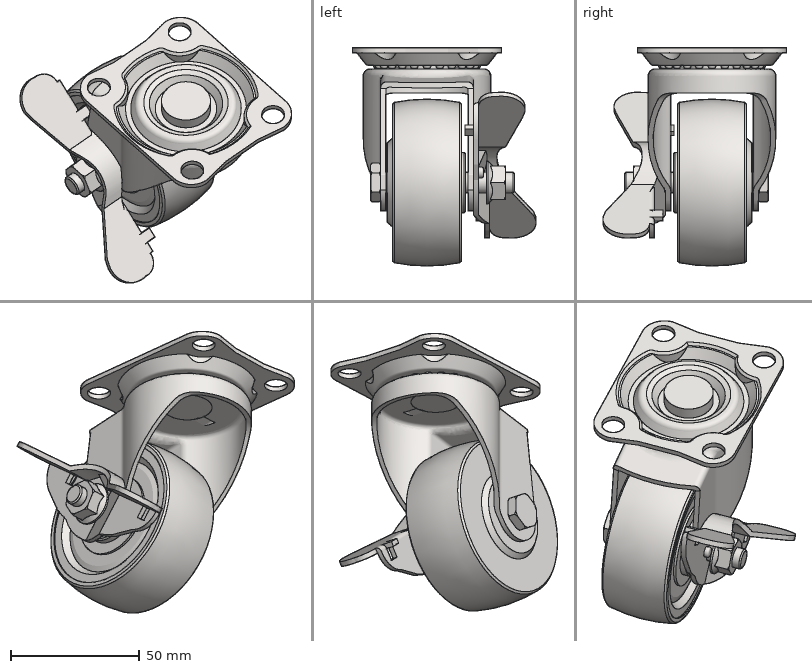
import cadquery as cq
import math


SHEET = 2.0
AXLE_X = -29.0
AXLE_Z = -52.5
AXLE_RADIUS = 4.1
LEG_OUTSIDE = 18.0

PLATE_X = 34.9
PLATE_WAIST_X = 32.9
PLATE_WAIST_Y = 8.3
PLATE_Y = 29.0
CORNER_RADIUS = 9.2
HOLE_X = 27.5
HOLE_Y = 20.9
HOLE_RADIUS = 4.4
DISH_DEPTH = 4.8
DISH_TOP_RADIUS = 27.3
DISH_FLOOR_RADIUS = 23.5
DISH_CORNER_ROUND = 1.4
DISH_RIM_BEVEL = 1.0
DISH_FLOOR_ROUND = 1.3
DISH_BITE_RADIUS = 11.3
PIN_RADIUS = 9.6

BALL_COUNT = 24
BALL_RADIUS = 1.5
BALL_CIRCLE_RADIUS = 19.3
BALL_CLEARANCE = 0.05

FORK_TOP = -8.2
CROWN_RADIUS = 24.9
CROWN_RIM_Z = -17.7
CROWN_ROUND = 2.9
ROOF_ROUND = 2.4
ROOF_FRONT_X = -37.6
ROOF_FRONT_Z = -13.6
ROOF_SLOPE = 9.3
ROOF_LIP_Z = -15.8
ROOF_BOW_X = -35.1
LEG_EYE_RADIUS = 11.0
LEG_FRONT_TOP_X = -34.6
LEG_REAR_ANGLE = 49.3
LEG_REAR_ROUND = 8.7
FLARE_ROUND = 3.9
FLARE_ROUND_INSIDE = 3.9

WHEEL_RADIUS = 32.5
TREAD_EDGE_RADIUS = 31.3
WHEEL_HALF_WIDTH = 13.5
WHEEL_DISC_RECESS = 2.5
HUB_FRONT_Y = 15.1
HUB_BACK_Y = 15.5

HEX_FLATS = 13.0
BOLT_HEAD_HEIGHT = 4.0
BOLT_TIP = 34.1
BOLT_CHAMFER = 0.6
NUT_SEAT = 23.1
NUT_FLANGE_EDGE = 0.8
NUT_FLANGE_HEIGHT = 2.4
NUT_FLANGE_RADIUS = 8.4
NUT_CONE_RADIUS = 6.6
NUT_END = 30.6
HEX_CORNER_CUT = 0.6

PEDAL_TILT = 38.2
TREAD_TOP = 9.65
TREAD_START = 38.0
PEDAL_END = 44.5
TREAD_BEND = 1.8
ARCH_TOP = 14.5
ARCH_RADIUS = 19.8
ARCH_ANGLE = 32.5
WEB_STEP = 4.3
STEP_START = 2.9
STEP_END = 13.5
PADDLE_A_Y = 38.2
PADDLE_B_Y = 42.4
TAB_REACH = 3.3
TAB_WIDTH = 4.2
TAB_A_U = -22.0
TAB_B_U = 31.75
WINDOW_A_BOTTOM = 3.6
WINDOW_B_BOTTOM = 2.6
GUSSET_FOOT = 7.7
GUSSET_RISE = 0.7
STUD_U = -6.4
STUD_RADIUS = 2.1
STUD_HEIGHT = 1.9
STUD_ROUND = 0.9

PLATE_BOTTOM = -SHEET - DISH_DEPTH
FORK_CAP_BOTTOM = FORK_TOP - SHEET
CORNER_X = PLATE_X - CORNER_RADIUS
CORNER_Y = PLATE_Y - CORNER_RADIUS
HOLE_CENTRES = [(sx * HOLE_X, sy * HOLE_Y) for sx in (-1, 1) for sy in (-1, 1)]
DEEP = 193.0


def axle_cylinder(radius, y_low, y_high):
    """A cylinder on the wheel axle between two Y positions."""
    plane = cq.Workplane("XZ", origin=(AXLE_X, y_high, AXLE_Z))
    return plane.circle(radius).extrude(y_high - y_low)


def axle_revolve(points):
    """A ring around the wheel axle from (radius, y) points."""
    ring = cq.Workplane("XY").polyline(points).close().revolve(360, (0, 0, 0), (0, 1, 0))
    return ring.translate((AXLE_X, 0, AXLE_Z))


def plate_blank():
    diagonal = CORNER_RADIUS * math.sqrt(0.5)
    outline = cq.Workplane("XY").moveTo(-CORNER_X, PLATE_Y).lineTo(CORNER_X, PLATE_Y)
    outline = outline.threePointArc((CORNER_X + diagonal, CORNER_Y + diagonal), (PLATE_X, CORNER_Y))
    outline = outline.lineTo(PLATE_WAIST_X, PLATE_WAIST_Y).lineTo(PLATE_WAIST_X, -PLATE_WAIST_Y)
    outline = outline.lineTo(PLATE_X, -CORNER_Y)
    outline = outline.threePointArc((CORNER_X + diagonal, -CORNER_Y - diagonal), (CORNER_X, -PLATE_Y))
    outline = outline.lineTo(-CORNER_X, -PLATE_Y)
    outline = outline.threePointArc((-CORNER_X - diagonal, -CORNER_Y - diagonal), (-PLATE_X, -CORNER_Y))
    outline = outline.lineTo(-PLATE_WAIST_X, -PLATE_WAIST_Y).lineTo(-PLATE_WAIST_X, PLATE_WAIST_Y)
    outline = outline.lineTo(-PLATE_X, CORNER_Y)
    outline = outline.threePointArc((-CORNER_X - diagonal, CORNER_Y + diagonal), (-CORNER_X, PLATE_Y))
    return outline.close().extrude(-SHEET)


def scalloped_disc(top_z, depth, radius, bite_radius, corner_round):
    """A disc with rounded scallops around the mounting holes."""
    level = cq.Workplane("XY").workplane(offset=top_z)
    disc = level.circle(radius).extrude(-depth)
    disc = disc.cut(level.pushPoints(HOLE_CENTRES).circle(bite_radius).extrude(-depth))
    return disc.edges("|Z").edges("not >X").fillet(corner_round)


def scalloped_cone(top_z, bite_radius):
    """The dish shape: a scalloped disc narrowing to the dish floor."""
    cone = cq.Workplane("XZ").polyline([
        (0, top_z), (DISH_TOP_RADIUS, top_z), (DISH_FLOOR_RADIUS, top_z - DISH_DEPTH), (0, top_z - DISH_DEPTH),
    ]).close().revolve(360, (0, 0, 0), (0, 1, 0))
    return cone.intersect(
        scalloped_disc(top_z, DISH_DEPTH, DISH_TOP_RADIUS, bite_radius, DISH_CORNER_ROUND))


def rim_bevel():
    """Cutter that breaks the upper edge of the dish all round."""
    mouth = scalloped_disc(
        DISH_RIM_BEVEL, 2 * DISH_RIM_BEVEL, DISH_TOP_RADIUS + DISH_RIM_BEVEL,
        DISH_BITE_RADIUS - DISH_RIM_BEVEL, DISH_CORNER_ROUND + DISH_RIM_BEVEL)
    return mouth.faces("<Z").edges().chamfer(DISH_RIM_BEVEL)


def race_ring():
    """Raised ball race in the middle of the dish, with the flush swivel pin inside it."""
    floor = -DISH_DEPTH
    ring = cq.Workplane("XZ").moveTo(21.5, floor - SHEET).lineTo(21.5, floor)
    ring = ring.lineTo(19.9, -2.3).threePointArc((19.2, -1.4), (17.95, -1.0))
    ring = ring.lineTo(16.4, -1.0).lineTo(14.3, -1.7).lineTo(12.0, floor)
    ring = ring.lineTo(PIN_RADIUS, floor).lineTo(PIN_RADIUS, 0).lineTo(0, 0)
    ring = ring.lineTo(0, FORK_CAP_BOTTOM).lineTo(PIN_RADIUS, FORK_CAP_BOTTOM)
    ring = ring.lineTo(PIN_RADIUS, floor - SHEET).close()
    return ring.revolve(360, (0, 0, 0), (0, 1, 0))


def ball_row():
    """Row of balls under the plate, kept just clear of the fork."""
    balls = cq.Workplane("XY").workplane(offset=PLATE_BOTTOM)
    balls = balls.polarArray(BALL_CIRCLE_RADIUS, 0, 360, BALL_COUNT).sphere(BALL_RADIUS)
    return balls.intersect(cq.Workplane("XY").box(DEEP, DEEP, 2 * (-FORK_TOP - BALL_CLEARANCE)))


def make_plate():
    dish = scalloped_cone(-SHEET, DISH_BITE_RADIUS - SHEET)
    dish = dish.faces("<Z").edges().fillet(DISH_FLOOR_ROUND)
    plate = plate_blank().union(dish)
    plate = plate.cut(scalloped_cone(0, DISH_BITE_RADIUS)).cut(rim_bevel())
    holes = cq.Workplane("XY").pushPoints(HOLE_CENTRES).circle(HOLE_RADIUS).extrude(-SHEET)
    return plate.cut(holes).union(race_ring()).union(ball_row())


def roof_z(x):
    return ROOF_FRONT_Z + (x - ROOF_FRONT_X) * math.tan(math.radians(ROOF_SLOPE))


def fork_hull(inset, flare_round):
    """Outside of the fork for inset 0, its hollow for inset SHEET."""
    bottom = AXLE_Z - 2 * LEG_EYE_RADIUS
    half_width = LEG_OUTSIDE - inset
    crown = cq.Workplane("XY").workplane(offset=bottom).circle(CROWN_RADIUS - inset)
    crown = crown.extrude(FORK_TOP - inset - bottom).faces(">Z").edges().fillet(CROWN_ROUND - inset / 2)
    front_x = ROOF_FRONT_X - SHEET
    nose = cq.Workplane("XZ", origin=(0, half_width, 0)).polyline([
        (front_x, bottom), (front_x, roof_z(front_x) - inset), (0, roof_z(0) - inset), (0, bottom),
    ]).close().extrude(2 * half_width)
    nose = nose.edges("#Y and (not |Z) and (>Y or <Y)").edges("not (<Z)").edges(
        cq.selectors.BoxSelector((-43.4, -28.95, -28.95), (-1, 28.95, 0))).fillet(ROOF_ROUND - inset / 2)
    junction = cq.selectors.BoxSelector((-19.3, -19.3, -57.9), (-15.4, 19.3, -24.1))
    return crown.union(nose).edges(junction).fillet(flare_round)


def leg_outline():
    """Side profile of the fork, running round the axle eye."""
    slope = math.radians(LEG_REAR_ANGLE)
    rear = (AXLE_X + LEG_EYE_RADIUS * math.sin(slope), AXLE_Z - LEG_EYE_RADIUS * math.cos(slope))
    rim_x = rear[0] + (CROWN_RIM_Z - rear[1]) / math.tan(slope)
    profile = cq.Workplane("XZ", origin=(0, DEEP / 2, 0)).polyline([
        (ROOF_FRONT_X, 0), (ROOF_FRONT_X, ROOF_LIP_Z), (LEG_FRONT_TOP_X, ROOF_LIP_Z),
        (AXLE_X - LEG_EYE_RADIUS, AXLE_Z), (AXLE_X, AXLE_Z), rear,
        (rim_x, CROWN_RIM_Z), (CROWN_RADIUS, CROWN_RIM_Z), (CROWN_RADIUS, 0),
    ]).close().extrude(DEEP)
    at_rim = cq.selectors.BoxSelector((rim_x - 1, -DEEP, CROWN_RIM_Z - 1), (rim_x + 1, DEEP, CROWN_RIM_Z + 1))
    profile = profile.edges(at_rim).fillet(LEG_REAR_ROUND)
    return profile.union(axle_cylinder(LEG_EYE_RADIUS, -DEEP / 2, DEEP / 2))


def roof_plan():
    """Plan limit that bows the front edge of the roof."""
    outline = cq.Workplane("XY").workplane(offset=-DEEP / 2).moveTo(CROWN_RADIUS, -PLATE_Y)
    outline = outline.lineTo(AXLE_X - LEG_EYE_RADIUS, -PLATE_Y).lineTo(AXLE_X - LEG_EYE_RADIUS, PLATE_Y)
    outline = outline.lineTo(CROWN_RADIUS, PLATE_Y).close().extrude(DEEP)
    beyond = cq.Workplane("XY").workplane(offset=ROOF_LIP_Z).moveTo(ROOF_BOW_X, -LEG_OUTSIDE)
    beyond = beyond.threePointArc((ROOF_FRONT_X, 0), (ROOF_BOW_X, LEG_OUTSIDE))
    beyond = beyond.lineTo(-DEEP, LEG_OUTSIDE).lineTo(-DEEP, -LEG_OUTSIDE).close().extrude(-ROOF_LIP_Z)
    return outline.cut(beyond)


def make_fork():
    fork = fork_hull(0, FLARE_ROUND).cut(fork_hull(SHEET, FLARE_ROUND_INSIDE))
    fork = fork.intersect(leg_outline()).intersect(roof_plan())
    pin_hole = cq.Workplane("XY").workplane(offset=FORK_TOP).circle(PIN_RADIUS).extrude(-SHEET)
    return fork.cut(pin_hole).cut(axle_cylinder(AXLE_RADIUS, -LEG_OUTSIDE, LEG_OUTSIDE))


def make_wheel():
    """Wheel with a crowned tread, a stepped front face and a hub, turned about the axle."""
    w = WHEEL_HALF_WIDTH
    disc_y = w - WHEEL_DISC_RECESS
    profile = cq.Workplane("XY").moveTo(AXLE_RADIUS, -HUB_FRONT_Y).lineTo(11.2, -HUB_FRONT_Y)
    profile = profile.lineTo(11.8, 0.6 - HUB_FRONT_Y).lineTo(11.8, -disc_y - 1.0)
    profile = profile.lineTo(16.3, -disc_y - 1.0).lineTo(16.3, -disc_y)
    profile = profile.lineTo(21.1, -disc_y).lineTo(23.3, 0.6 - disc_y).lineTo(25.4, 0.6 - w)
    profile = profile.lineTo(28.95, 0.6 - w).lineTo(28.95, -w).lineTo(30.5, -w).lineTo(TREAD_EDGE_RADIUS, 0.8 - w)
    profile = profile.threePointArc((WHEEL_RADIUS, 0), (TREAD_EDGE_RADIUS, w - 0.8)).lineTo(30.5, w)
    profile = profile.lineTo(17.3, w).lineTo(15.4, HUB_BACK_Y).lineTo(AXLE_RADIUS, HUB_BACK_Y).close()
    return profile.revolve(360, (0, 0, 0), (0, 1, 0)).translate((AXLE_X, 0, AXLE_Z))


def hexagon(y_low, y_high, turn):
    """A hexagonal prism on the axle with its corners turned off at both ends."""
    corner_radius = HEX_FLATS / math.sqrt(3)
    plane = cq.Workplane("XZ", origin=(0, y_high, 0)).polygon(6, 2 * corner_radius).extrude(y_high - y_low)
    prism = plane.rotate((0, 0, 0), (0, 1, 0), turn).translate((AXLE_X, 0, AXLE_Z))
    return prism.intersect(axle_cylinder(corner_radius, y_low, y_high).edges().chamfer(HEX_CORNER_CUT))


def make_bolt():
    shank = axle_cylinder(AXLE_RADIUS, -BOLT_TIP, LEG_OUTSIDE).faces("<Y").edges().chamfer(BOLT_CHAMFER)
    return shank.union(hexagon(LEG_OUTSIDE, LEG_OUTSIDE + BOLT_HEAD_HEIGHT, 30))


def make_nut():
    cone_y = -NUT_SEAT - NUT_FLANGE_HEIGHT
    flange = axle_revolve([
        (0, -NUT_SEAT), (NUT_FLANGE_RADIUS, -NUT_SEAT),
        (NUT_FLANGE_RADIUS, -NUT_SEAT - NUT_FLANGE_EDGE), (NUT_CONE_RADIUS, cone_y), (0, cone_y),
    ])
    nut = flange.union(hexagon(-NUT_END, -NUT_SEAT - NUT_FLANGE_EDGE, 0))
    return nut.cut(axle_cylinder(AXLE_RADIUS, -NUT_END, -NUT_SEAT))


def add_arched_edge(path, depth):
    """Continue a path along the tread at a depth below its top, from -u to +u over the arch."""
    angle = math.radians(ARCH_ANGLE)
    level = TREAD_TOP - depth
    radius = ARCH_RADIUS - depth
    centre_v = ARCH_TOP - ARCH_RADIUS
    side_u = radius * math.sin(angle)
    side_v = centre_v + radius * math.cos(angle)
    foot_u = side_u + (side_v - level) / math.tan(angle)
    path = path.lineTo(-foot_u, level).lineTo(-side_u, side_v)
    return path.threePointArc((0, ARCH_TOP - depth), (side_u, side_v)).lineTo(foot_u, level)


def tread_strip():
    """Sheet of the tread with its arch, in (u, v), wider than the pedal."""
    top_path = cq.Workplane("XZ").moveTo(-PEDAL_END - SHEET, TREAD_TOP)
    top_path = add_arched_edge(top_path, 0).lineTo(PEDAL_END + SHEET, TREAD_TOP)
    upper = top_path.lineTo(PEDAL_END + SHEET, -DEEP).lineTo(-PEDAL_END - SHEET, -DEEP).close().extrude(DEEP)
    low_path = cq.Workplane("XZ").moveTo(-DEEP, TREAD_TOP - SHEET)
    low_path = add_arched_edge(low_path, SHEET).lineTo(DEEP, TREAD_TOP - SHEET)
    return upper.cut(low_path.lineTo(DEEP, -2 * DEEP).lineTo(-DEEP, -2 * DEEP).close().extrude(DEEP))


def tread_plan():
    """Outline of the two paddles and the narrow bridge between them, in (u, y)."""
    near = -LEG_OUTSIDE
    far = near - WEB_STEP
    start = TREAD_START
    plan = cq.Workplane("XY").workplane(offset=-DEEP / 2).moveTo(-start, near)
    plan = plan.lineTo(STEP_START, near).lineTo(STEP_END, far).lineTo(start, far).lineTo(start, far - SHEET)
    plan = plan.threePointArc((43.6, far - 4.8), (PEDAL_END, far - 8.7))
    plan = plan.threePointArc((41.5, -40.0), (33.8, -PADDLE_B_Y)).lineTo(30.4, -41.5)
    plan = plan.lineTo(8.2, -28.4).threePointArc((0, -27.2), (-8.7, -29.1))
    plan = plan.lineTo(-31.4, -37.25).lineTo(-35.2, -PADDLE_A_Y)
    plan = plan.threePointArc((-42.7, -34.7), (-PEDAL_END, -27.0))
    plan = plan.threePointArc((-43.6, -23.2), (-start, near - SHEET)).close()
    return plan.extrude(DEEP)


def web_outline():
    """Side plate of the pedal below the tread, nearly symmetric about the axle."""
    web = cq.Workplane("XZ").moveTo(-TREAD_START, TREAD_TOP - SHEET / 2)
    web = add_arched_edge(web, SHEET / 2).lineTo(TREAD_START, TREAD_TOP - SHEET / 2)
    web = web.lineTo(TREAD_START, TREAD_TOP - SHEET).threePointArc((36.6, 2.1), (30.4, -2.4))
    web = web.lineTo(20.7, -7.6).lineTo(13.5, -9.6).threePointArc((0, -13.9), (-13.5, -9.6))
    web = web.lineTo(-20.7, -7.6).lineTo(-30.4, -2.4)
    web = web.threePointArc((-35.6, 2.1), (-TREAD_START, TREAD_TOP - SHEET))
    return web.close().extrude(DEEP)


def stepped_sheet():
    """Sheet that steps outwards past the axle, in (u, y)."""
    near = -LEG_OUTSIDE
    far = near - WEB_STEP
    inner = [(-DEEP, near), (STEP_START, near), (STEP_END, far), (DEEP, far)]
    outer = [(u, y - SHEET) for u, y in reversed(inner)]
    return cq.Workplane("XY").workplane(offset=-DEEP / 2).polyline(inner + outer).close().extrude(DEEP)


def stop_window(u, bottom):
    """Window in the web that the stop tab leaves below the tread."""
    height = TREAD_TOP - SHEET - bottom
    return cq.Workplane("XY").box(TAB_WIDTH, DEEP, height).translate((u, 0, bottom + height / 2))


def stop_tab(u, web_y):
    """Tab of the tread that passes inwards through the web."""
    return cq.Workplane("XY").box(TAB_WIDTH, TAB_REACH + SHEET, SHEET).translate(
        (u, web_y + (TAB_REACH - SHEET) / 2, TREAD_TOP - SHEET / 2))


def gusset():
    """Sloping dart that stiffens the corner between the web and the arch."""
    skin = -LEG_OUTSIDE - SHEET
    slope = cq.Workplane("YZ", origin=(-PEDAL_END, 0, 0)).polyline([
        (skin, GUSSET_FOOT), (skin + SHEET / 2, GUSSET_FOOT), (skin + SHEET / 2, ARCH_TOP),
        (skin - GUSSET_RISE * (ARCH_TOP - GUSSET_FOOT), ARCH_TOP),
    ]).close().extrude(2 * PEDAL_END)
    face = cq.Workplane("XZ").polyline([
        (-6.1, 12.4), (-0.5, GUSSET_FOOT), (4.8, GUSSET_FOOT), (8.7, 11.2), (4.8, 12.5), (0, 13.4),
    ]).close().extrude(DEEP)
    return slope.intersect(face)


def make_pedal():
    near = -LEG_OUTSIDE
    far = near - WEB_STEP
    pedal = web_outline().intersect(stepped_sheet())
    pedal = pedal.cut(stop_window(TAB_A_U, WINDOW_A_BOTTOM)).cut(stop_window(TAB_B_U, WINDOW_B_BOTTOM))
    pedal = pedal.union(tread_strip().intersect(tread_plan())).union(gusset())
    for side, fold_y in ((-1, near), (1, far)):
        fold = cq.selectors.BoxSelector(
            (side * STEP_END, fold_y - 0.1, TREAD_TOP - 0.1), (side * PEDAL_END, fold_y + 0.1, TREAD_TOP + 0.1))
        pedal = pedal.edges(fold).fillet(TREAD_BEND)
    pedal = pedal.union(stop_tab(TAB_A_U, near)).union(stop_tab(TAB_B_U, far))
    stud = cq.Workplane("XZ", origin=(STUD_U, near - SHEET, 0)).circle(STUD_RADIUS).extrude(STUD_HEIGHT)
    pedal = pedal.union(stud.faces("<Y").edges().fillet(STUD_ROUND))
    pedal = pedal.rotate((0, 0, 0), (0, 1, 0), PEDAL_TILT).translate((AXLE_X, 0, AXLE_Z))
    return pedal.cut(axle_cylinder(AXLE_RADIUS, -BOLT_TIP, 0))


plate = make_plate()
fork = make_fork()
wheel = make_wheel()
bolt = make_bolt()
nut = make_nut()
pedal = make_pedal()

result = cq.Compound.makeCompound([
    plate.val(), fork.val(), wheel.val(), bolt.val(), nut.val(), pedal.val(),
])